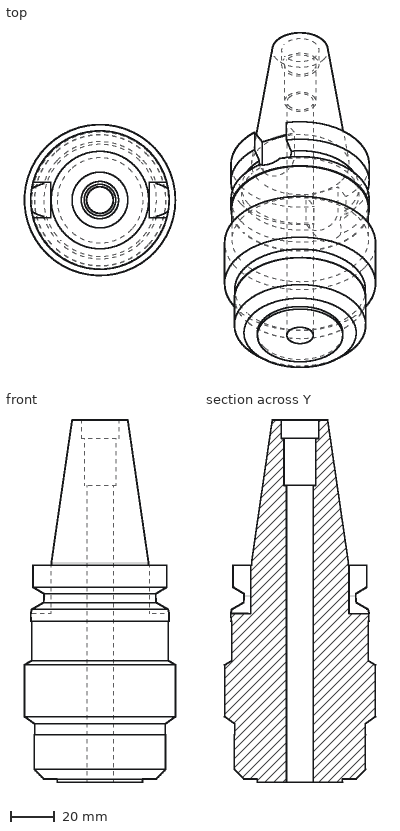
import cadquery as cq

total_height = 165.4
gauge_z = 100.0
flange_top_z = 99.0
flange_rim_z = 89.0
groove_top_z = 86.0
groove_bottom_z = 82.0
collar_top_z = 78.9
collar_bottom_z = 73.6
nut_shoulder_z = 55.5
nut_top_z = 53.6
nut_bottom_z = 30.0
nose_top_z = 26.6
nose_step_z = 21.7
nose_chamfer_z = 6.0
nose_face_z = 1.5

taper_small_diameter = 25.5
taper_large_diameter = 44.5
flange_diameter = 63.2
groove_diameter = 53.6
body_diameter = 62.4
nut_diameter = 69.0
neck_diameter = 59.7
nose_diameter = 60.0
nose_face_diameter = 51.3
tip_diameter = 39.0

counterbore_diameter = 17.0
counterbore_depth = 8.5
thread_diameter = 14.4
thread_depth = 30.0
through_diameter = 12.0

slot_width = 16.2
slot_floor_x = 22.5
slot_bottom_z = 77.0


def make_body():
    """Revolve the outer profile, listed from the nose up to the taper end."""
    profile = [
        (tip_diameter, 0),
        (tip_diameter, nose_face_z),
        (nose_face_diameter, nose_face_z),
        (nose_diameter, nose_chamfer_z),
        (nose_diameter, nose_step_z),
        (neck_diameter, nose_step_z),
        (neck_diameter, nose_top_z),
        (nut_diameter, nut_bottom_z),
        (nut_diameter, nut_top_z),
        (body_diameter, nut_shoulder_z),
        (body_diameter, collar_bottom_z),
        (flange_diameter, collar_bottom_z),
        (flange_diameter, collar_top_z),
        (groove_diameter, groove_bottom_z),
        (groove_diameter, groove_top_z),
        (flange_diameter, flange_rim_z),
        (flange_diameter, flange_top_z),
        (taper_large_diameter, flange_top_z),
        (taper_large_diameter, gauge_z),
        (taper_small_diameter, total_height),
    ]
    outline = [(diameter / 2, z) for diameter, z in profile]
    return (
        cq.Workplane("XZ")
        .polyline([(0, 0)] + outline + [(0, total_height)])
        .close()
        .revolve(360, (0, 0), (0, 1))
    )


def make_bore():
    """Revolve the through bore with its thread bore and counterbore at the taper end."""
    thread_top_z = total_height - counterbore_depth
    thread_bottom_z = total_height - thread_depth
    profile = [
        (through_diameter, 0),
        (through_diameter, thread_bottom_z),
        (thread_diameter, thread_bottom_z),
        (thread_diameter, thread_top_z),
        (counterbore_diameter, thread_top_z),
        (counterbore_diameter, total_height),
    ]
    outline = [(diameter / 2, z) for diameter, z in profile]
    return (
        cq.Workplane("XZ")
        .polyline([(0, 0)] + outline + [(0, total_height)])
        .close()
        .revolve(360, (0, 0), (0, 1))
    )


def make_drive_slot(side):
    """Round-ended slot cut into the flange; side is -1 or +1 along X."""
    half_width = slot_width / 2
    arc_center_z = slot_bottom_z + half_width
    slot_depth = nut_diameter / 2 - slot_floor_x
    return (
        cq.Workplane("YZ", origin=(side * slot_floor_x, 0, 0))
        .moveTo(-half_width, flange_top_z)
        .lineTo(-half_width, arc_center_z)
        .threePointArc((0, slot_bottom_z), (half_width, arc_center_z))
        .lineTo(half_width, flange_top_z)
        .close()
        .extrude(side * slot_depth)
    )


result = make_body().cut(make_bore())
for side in (-1, 1):
    result = result.cut(make_drive_slot(side))